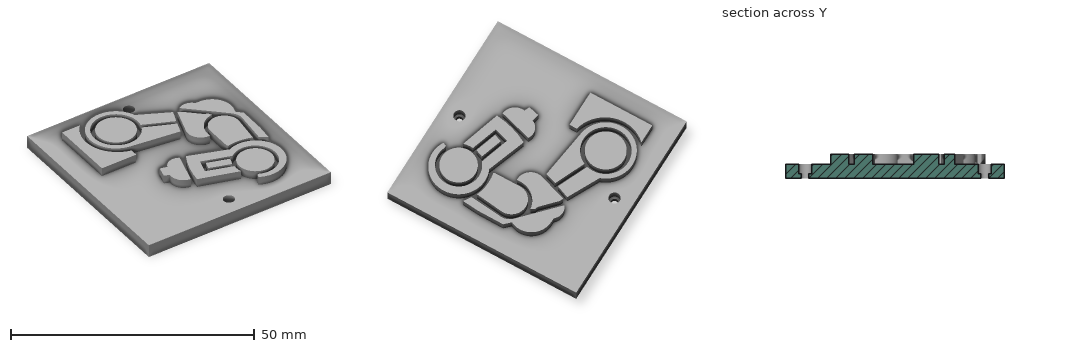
import cadquery as cq
import math

plate_side = 45.0
total_height = 5.0
relief_height = 2.0
plate_thickness = total_height - relief_height

hole_spacing = 36.95
hole_diameter = 1.5
counterbore_diameter = 2.5
counterbore_depth = 2.0

lower_hub = (-11.92, -7.6)
lower_hub_radius = 4.3
lower_groove_radius = 5.3
lower_ring_radius = 6.4

base_left = -17.32
base_right = -2.55
base_bottom = -17.32
base_top = -8.85
base_hollow_center = (-11.92, -7.3)
base_hollow_radius = 7.8

upper_hub = (12.5, 10.55)
upper_hub_radius = 3.95
upper_groove_radius = 4.85
hook_center = (12.35, 10.9)
hook_radius = 6.2

elbow = (-0.75, 11.75)
elbow_radius = 3.4


def on_circle(center, radius, degrees):
    """Point of a circle at an angle measured from +X."""
    angle = math.radians(degrees)
    return (center[0] + radius * math.cos(angle), center[1] + radius * math.sin(angle))


def tangent_point(center, radius, start):
    """Touching point of a line from start, on the clockwise side as seen from the centre."""
    dx = start[0] - center[0]
    dy = start[1] - center[1]
    direction = math.atan2(dy, dx) - math.acos(radius / math.hypot(dx, dy))
    return on_circle(center, radius, math.degrees(direction))


def start_relief(x, y):
    """Begin an outline on the top face of the plate."""
    return cq.Workplane("XY").workplane(offset=plate_thickness).moveTo(x, y)


def raise_outline(outline):
    return outline.close().extrude(relief_height)


def hub(center, radius):
    return start_relief(*center).circle(radius).extrude(relief_height)


def base_block():
    block = raise_outline(
        start_relief(base_left, base_bottom)
        .lineTo(base_right, base_bottom)
        .lineTo(base_right, base_top)
        .lineTo(base_left, base_top)
    )
    return block.cut(hub(base_hollow_center, base_hollow_radius))


def lower_arm():
    right_shoulder = (-4.1, 3.15)
    return raise_outline(
        start_relief(-10.45, 5.55)
        .lineTo(-7.5, 4.35)
        .lineTo(-10.55, -2.48)
        .threePointArc(
            on_circle(lower_hub, lower_groove_radius, 240),
            on_circle(lower_hub, lower_groove_radius, 65),
        )
        .lineTo(-6.7, 4.05)
        .lineTo(*right_shoulder)
        .lineTo(*tangent_point(lower_hub, lower_ring_radius, right_shoulder))
        .threePointArc(
            on_circle(lower_hub, lower_ring_radius, 240),
            on_circle(lower_hub, lower_ring_radius, 109),
        )
    )


def forearm_root():
    """Piece above the lower arm, with a hollow that follows the elbow disc."""
    return raise_outline(
        start_relief(-9.9, 6.25)
        .lineTo(-3.6, 4.15)
        .threePointArc((-0.7, 4.7), (0.5, 7.4))
        .lineTo(-0.6, 7.4)
        .threePointArc((-3.85, 8.8), (-5.25, 11.7))
        .lineTo(-6.08, 11.2)
        .lineTo(-6.35, 10.5)
        .lineTo(-9.6, 7.0)
    )


def elbow_cover():
    """Rounded cover and the bar that runs along the top of the elbow."""
    return raise_outline(
        start_relief(-10.9, 7.4)
        .threePointArc((-11.45, 8.78), (-10.5, 11.05))
        .lineTo(-10.45, 12.3)
        .threePointArc((-8.2, 16.05), (-3.5, 16.2))
        .lineTo(-2.15, 17.5)
        .lineTo(3.9, 17.45)
        .lineTo(7.6, 17.1)
        .lineTo(6.52, 15.45)
        .lineTo(-0.55, 16.2)
        .threePointArc((-2.05, 16.1), (-3.35, 15.4))
    )


def elbow_link():
    """Half-round link whose right end follows the hook of the upper arm."""
    return raise_outline(
        start_relief(*on_circle(elbow, elbow_radius, 83))
        .threePointArc(
            on_circle(elbow, elbow_radius, 180),
            on_circle(elbow, elbow_radius, 270),
        )
        .lineTo(5.15, 8.32)
        .lineTo(5.45, 8.5)
        .threePointArc((5.2, 11.25), (5.9, 14.35))
    )


def upper_arm():
    """Arm with a hook around the upper hub and a channel around the window bar."""
    hook_root = (6.6, 8.15)
    return raise_outline(
        start_relief(*hook_root)
        .lineTo(3.55, -0.68)
        .threePointArc((7.3, -2.3), (11.4, -3.15))
        .lineTo(14.15, 5.9)
        .threePointArc(
            on_circle(upper_hub, upper_groove_radius, 276),
            on_circle(upper_hub, upper_groove_radius, 263),
        )
        .lineTo(10.0, -0.25)
        .lineTo(6.7, 0.7)
        .lineTo(*on_circle(upper_hub, upper_groove_radius, 220))
        .threePointArc(
            on_circle(upper_hub, upper_groove_radius, 90),
            on_circle(upper_hub, upper_groove_radius, -25),
        )
        .lineTo(16.95, 8.05)
        .lineTo(17.78, 7.75)
        .threePointArc(on_circle(hook_center, hook_radius, 90), hook_root)
    )


def window_bar():
    return raise_outline(
        start_relief(9.35, 6.45)
        .lineTo(11.05, 5.75)
        .lineTo(9.5, 0.85)
        .lineTo(7.75, 1.45)
    )


def gripper():
    return raise_outline(
        start_relief(3.3, -2.02)
        .lineTo(10.6, -4.2)
        .threePointArc((9.45, -6.4), (7.05, -6.98))
        .lineTo(6.55, -8.15)
        .lineTo(4.1, -7.5)
        .lineTo(4.45, -5.85)
        .threePointArc((3.05, -4.45), (3.3, -2.02))
    )


plate = (
    cq.Workplane("XY")
    .box(plate_side, plate_side, plate_thickness, centered=(True, True, False))
    .faces(">Z")
    .workplane()
    .pushPoints([(-hole_spacing / 2, 0), (hole_spacing / 2, 0)])
    .cboreHole(hole_diameter, counterbore_diameter, counterbore_depth)
)

relief_pieces = [
    base_block(),
    hub(lower_hub, lower_hub_radius),
    lower_arm(),
    forearm_root(),
    elbow_cover(),
    elbow_link(),
    hub(upper_hub, upper_hub_radius),
    upper_arm(),
    window_bar(),
    gripper(),
]

result = plate
for piece in relief_pieces:
    result = result.union(piece)